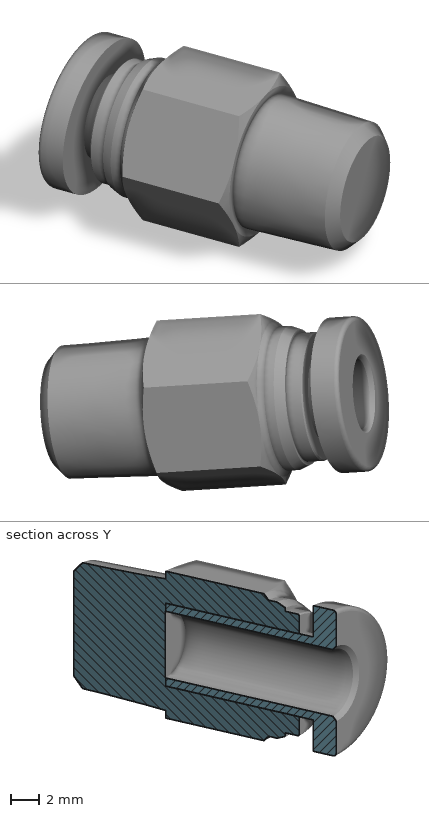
import cadquery as cq
import math

collar_end_x = 2.04
nose_start_x = 3.23
step_x = 4.42
ring_start_x = 5.18
ring_end_x = 5.9
hex_start_x = 6.32
hex_end_x = 14.88
thread_chamfer_x = 22.1
total_length = 22.9

collar_width = 13.0
collar_height = 11.01
collar_edge_radius = 0.3
neck_diameter = 6.3
bore_diameter = 5.0
bore_chamfer = 0.32
sleeve_end_x = hex_end_x

nose_diameter = 9.2
nose_chamfer = 0.1
step_diameter = 9.7
ring_diameter = 10.3
hex_across_flats = 11.1
hex_across_corners = hex_across_flats * 2 / math.sqrt(3)
hex_chamfer_length = 0.44
thread_root_diameter = 9.96
thread_tip_diameter = 9.53
thread_end_diameter = 7.85


def revolve_about_x(half_profile):
    """Turn a list of (x, radius) points into a solid of revolution about X."""
    return (
        cq.Workplane("XY")
        .polyline(half_profile)
        .close()
        .revolve(360, (0, 0, 0), (1, 0, 0))
    )


def cylinder_along_x(start_x, end_x, diameter):
    return cq.Workplane("YZ", origin=(start_x, 0, 0)).circle(diameter / 2).extrude(end_x - start_x)


def make_release_sleeve():
    """Oval push collar on a round tube, with a chamfered bore."""
    collar = (
        cq.Workplane("YZ")
        .ellipse(collar_width / 2, collar_height / 2)
        .extrude(collar_end_x)
        .faces("<X")
        .edges()
        .fillet(collar_edge_radius)
    )
    neck = cylinder_along_x(collar_end_x, sleeve_end_x, neck_diameter)
    bore = cylinder_along_x(0, sleeve_end_x, bore_diameter)
    bore_radius = bore_diameter / 2
    lead_in = revolve_about_x([
        (0, 0),
        (0, bore_radius + bore_chamfer),
        (bore_chamfer, bore_radius),
        (bore_chamfer, 0),
    ])
    return collar.union(neck).cut(bore).cut(lead_in)


def make_hexagon():
    """Hexagon with flats facing +Z and -Z and corners turned down at both ends."""
    prism = (
        cq.Workplane("YZ", origin=(hex_start_x, 0, 0))
        .polygon(6, hex_across_corners)
        .extrude(hex_end_x - hex_start_x)
    )
    flat_radius = hex_across_flats / 2
    corner_radius = hex_across_corners / 2
    corner_envelope = revolve_about_x([
        (hex_start_x, 0),
        (hex_start_x, flat_radius),
        (hex_start_x + hex_chamfer_length, corner_radius),
        (hex_end_x - hex_chamfer_length, corner_radius),
        (hex_end_x, flat_radius),
        (hex_end_x, 0),
    ])
    return prism.intersect(corner_envelope)


def make_nose():
    """Stepped round nose that widens to meet the hexagon."""
    return revolve_about_x([
        (nose_start_x, 0),
        (nose_start_x, nose_diameter / 2 - nose_chamfer),
        (nose_start_x + nose_chamfer, nose_diameter / 2),
        (step_x, nose_diameter / 2),
        (step_x, step_diameter / 2),
        (ring_start_x, ring_diameter / 2),
        (ring_end_x, ring_diameter / 2),
        (hex_start_x, hex_across_flats / 2),
        (hex_start_x, 0),
    ])


def make_threaded_end():
    """Plain tapered cone standing for the pipe thread, with a chamfered tip."""
    return revolve_about_x([
        (hex_end_x, 0),
        (hex_end_x, thread_root_diameter / 2),
        (thread_chamfer_x, thread_tip_diameter / 2),
        (total_length, thread_end_diameter / 2),
        (total_length, 0),
    ])


def make_fitting_body():
    """Nose, hexagon and threaded end in one piece, with a blind socket for the sleeve."""
    socket = cylinder_along_x(nose_start_x, sleeve_end_x, neck_diameter)
    return make_nose().union(make_hexagon()).union(make_threaded_end()).cut(socket)


release_sleeve = make_release_sleeve()
fitting_body = make_fitting_body()

result = cq.Compound.makeCompound([release_sleeve.solids().val(), fitting_body.solids().val()])